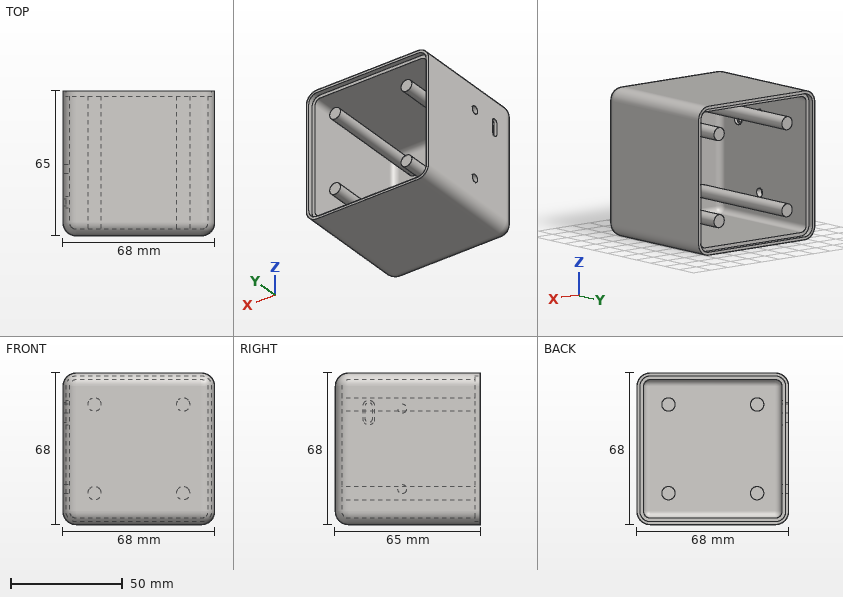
import cadquery as cq

side = 68.0
depth = 65.0
edge_radius = 6.0
wall = 3.0

rebate_step = 1.6
rebate_depth = 2.5

post_diameter = 6.0
post_offset = 19.85

hole_diameter = 4.0
hole_from_front = 30.0
hole_z = 18.0

slot_width = 3.2
slot_length = 9.0
slot_from_front = 15.0
slot_z = 16.25
slot_web = wall / 2
pocket_margin = 1.0

front_y = -depth / 2
back_y = depth / 2
half_side = side / 2
cavity_side = side - 2 * wall
cavity_radius = edge_radius - wall
cavity_front_y = front_y + wall
seat_y = back_y - rebate_depth


def rounded_block(width, radius, start_y, end_y):
    """Square block along Y with rounded long edges and a rounded front."""
    length = end_y - start_y
    block = cq.Workplane("XY").box(width, length, width).edges("|Y or <Y").fillet(radius)
    return block.translate((0, start_y + length / 2, 0))


def side_sketch(inset=0):
    """Workplane facing -X, the given distance in from the -X face; local x is -Y, local y is Z."""
    return cq.Workplane(cq.Plane(origin=(inset - half_side, 0, 0), xDir=(0, -1, 0), normal=(-1, 0, 0)))


def upright_slot(inset, margin, cut_depth):
    """Slot-shaped cutter that starts at the inset and runs inward, grown by the margin all round."""
    return (
        side_sketch(inset)
        .center(-front_y - slot_from_front, slot_z)
        .slot2D(slot_length + 2 * margin, slot_width + 2 * margin, 90)
        .extrude(-cut_depth)
    )


shell = rounded_block(side, edge_radius, front_y, back_y)
shell = shell.cut(rounded_block(cavity_side, cavity_radius, cavity_front_y, back_y))

rebate_side = cavity_side + 2 * rebate_step
rebate = (
    cq.Workplane("XZ", origin=(0, back_y, 0))
    .rect(rebate_side, rebate_side)
    .extrude(rebate_depth)
    .edges("|Y")
    .fillet(cavity_radius + rebate_step)
)
shell = shell.cut(rebate)

post_root_y = front_y + wall / 2
posts = (
    cq.Workplane("XZ", origin=(0, post_root_y, 0))
    .rect(2 * post_offset, 2 * post_offset, forConstruction=True)
    .vertices()
    .circle(post_diameter / 2)
    .extrude(post_root_y - seat_y)
)
shell = shell.union(posts)

holes = (
    side_sketch()
    .pushPoints([(-front_y - hole_from_front, z) for z in (-hole_z, hole_z)])
    .circle(hole_diameter / 2)
    .extrude(-wall)
)
shell = shell.cut(holes)

slot = upright_slot(0, 0, slot_web)
pocket = upright_slot(slot_web, pocket_margin, wall - slot_web)
result = shell.cut(slot).cut(pocket)